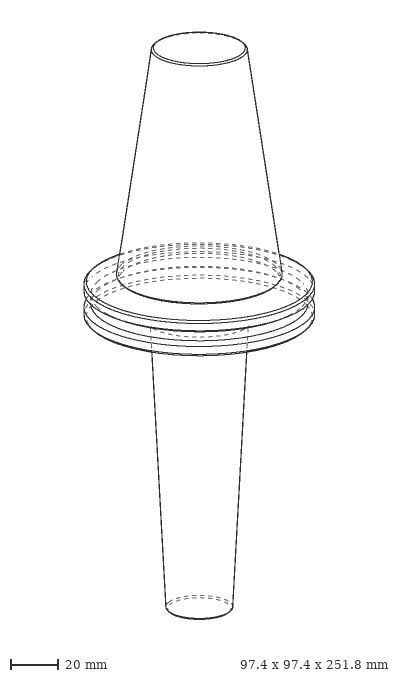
import cadquery as cq
import math

taper_length = 101.7
overall_length = 251.8
nose_z = taper_length - overall_length

gauge_radius = 35.0
taper_ratio = 7 / 24
shank_end_radius = gauge_radius - taper_length * taper_ratio / 2
shank_edge_chamfer = 0.8

neck_radius = 34.2
neck_shoulder_height = 0.8
neck_fillet = 0.8

flange_radius = 48.71
flange_top_z = -3.3
flange_bottom_z = -19.1
flange_edge_chamfer = 1.0
groove_z = -11.0
groove_floor_radius = 45.8
groove_floor_width = 4.0
groove_mouth_width = 7.0

nose_root_radius = 21.0
nose_end_radius = 14.0
nose_fillet = 5.0
nose_edge_chamfer = 0.8


def make_shank():
    """Tapered shank and the short neck that flares into the flange."""
    fillet_drop = neck_fillet * math.sin(math.pi / 4)
    fillet_mid = (
        neck_radius + neck_fillet - fillet_drop,
        flange_top_z + neck_fillet - fillet_drop,
    )
    return (
        cq.Workplane("XZ")
        .moveTo(0, flange_top_z)
        .lineTo(neck_radius + neck_fillet, flange_top_z)
        .threePointArc(fillet_mid, (neck_radius, flange_top_z + neck_fillet))
        .lineTo(neck_radius, -neck_shoulder_height)
        .lineTo(gauge_radius, 0)
        .lineTo(shank_end_radius, taper_length)
        .lineTo(0, taper_length)
        .close()
        .revolve(360, (0, 0), (0, 1))
        .faces(">Z").edges().chamfer(shank_edge_chamfer)
    )


def make_groove():
    """Ring that cuts the V-groove into the flange rim."""
    half_floor = groove_floor_width / 2
    half_mouth = groove_mouth_width / 2
    return (
        cq.Workplane("XZ")
        .polyline([
            (groove_floor_radius, groove_z - half_floor),
            (flange_radius, groove_z - half_mouth),
            (flange_radius, groove_z + half_mouth),
            (groove_floor_radius, groove_z + half_floor),
        ])
        .close()
        .revolve(360, (0, 0), (0, 1))
    )


def make_flange_and_nose():
    """Flange disc and tapered nose, blended by a fillet at the nose root."""
    profile = [
        (0, flange_top_z),
        (flange_radius, flange_top_z),
        (flange_radius, flange_bottom_z),
        (nose_root_radius, flange_bottom_z),
        (nose_end_radius, nose_z),
        (0, nose_z),
    ]
    nose_root = cq.selectors.RadiusNthSelector(1)
    body = cq.Workplane("XZ").polyline(profile).close().revolve(360, (0, 0), (0, 1))
    body = body.edges("%CIRCLE").edges(nose_root).fillet(nose_fillet)
    body = body.faces("<Z").edges().chamfer(nose_edge_chamfer)
    flange_rim = cq.selectors.RadiusNthSelector(-1)
    body = body.edges("%CIRCLE").edges(flange_rim).chamfer(flange_edge_chamfer)
    return body.cut(make_groove())


result = make_flange_and_nose().union(make_shank())